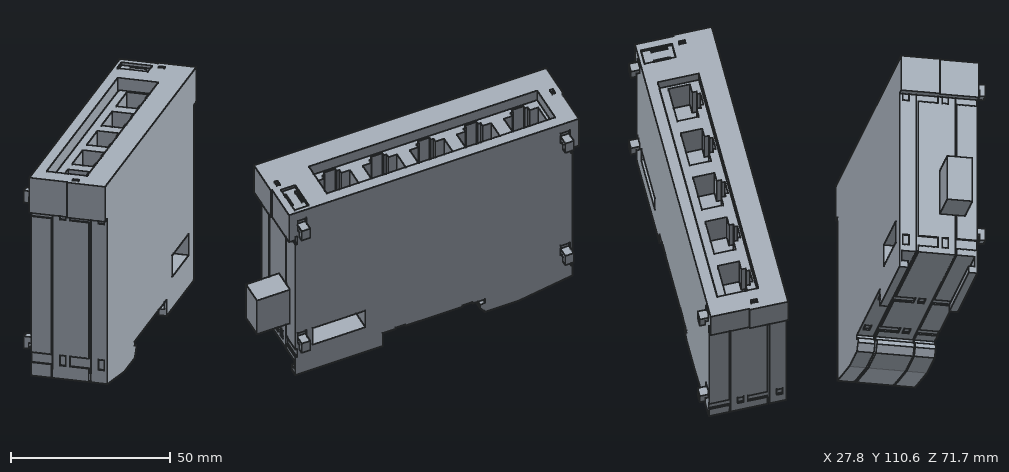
import cadquery as cq


width = 25.0
height = 71.7
total_depth = 110.6
cap_lip = 2.7
plug_length = 11.5
body_depth = total_depth - cap_lip - plug_length

cap_height = 12.0
cap_bottom = height - cap_height
cap_front = -cap_lip
cap_back = body_depth + cap_lip
cap_step = 0.4
cap_step_width = width / 2

rail_top = 5.6
back_foot_length = 30.4
front_foot_start = 66.1
hook_overhang = 1.8
hook_ledge_height = 4.2
hook_tip_height = 3.9
hook_flank_height = 2.3
underside_slope_start = 77.6
underside_slope_rise = 3.3

channel_wall = 0.8
channel_lip_width = 2.8
channel_lip_height = 2.2

groove_depth = 0.5
grooves = [(6.6, 7.0), (18.9, 19.6)]
clip_recesses_x = [(0, 7.0), (9.3, 11.3), (12.6, 19.6), (21.9, 23.9)]
clip_length = 3.4
clip_bottoms = [7.9, 57.6]
rail_clip_distances = [34.9, 58.2]

window_from_back = 6.0
window_length = 18.4
window_bottom = 11.0
window_height = 7.3

plug_x = 4.0
plug_width = 8.1
plug_bottom = 19.4
plug_height = 14.9

hook_reach = 2.8
hook_tip_thickness = 1.8
hook_height = 4.1
hook_stem_height = 2.1
hook_width = 3.0
hook_edge_distance = 0.9
hook_tops = [16.0, 65.7]
hook_pocket_depth = 0.9
hook_pocket_clearance = 0.3

recess_x = 3.8
recess_width = 13.3
recess_depth = 4.2
recess_front_margin = 7.0
recess_length = 79.5
recess_gap_width = 0.3
recess_gap_depth = 1.1
jack_count = 5
jack_pitch = 16.4
jack_front_margin = 8.1
jack_depth = 13.3
jack_x = 7.0
jack_length = 12.0
jack_steps = [(7.0, jack_length), (8.4, 6.0), (9.4, 4.1)]

pocket_x = 1.3
pocket_width = 10.1
pocket_length = 5.0
pocket_back_margin = 3.0
pocket_depth = 1.0
pry_x = 4.5
pry_width = 5.2
pry_inset = 0.1
pry_length = 0.9
pry_depth = 1.1

cap_slot_x = 13.6
cap_slot_width = 2.0
cap_slot_length = 1.1
cap_slot_depth = 1.1
cap_slot_front_margin = 2.2
cap_slot_back_margin = 2.7


def block(x_range, y_range, z_range):
    """Axis-aligned box spanning the three given ranges."""
    size = [end - start for start, end in (x_range, y_range, z_range)]
    corner = (x_range[0], y_range[0], z_range[0])
    return cq.Workplane("XY").box(*size, centered=False).translate(corner)


def make_body():
    """Side outline with rail opening, extruded over the full width."""
    foot_y = body_depth - front_foot_start
    tip_y = foot_y + hook_overhang
    back_foot_y = body_depth - back_foot_length
    return (
        cq.Workplane("YZ")
        .moveTo(0, height)
        .lineTo(0, underside_slope_rise)
        .lineTo(body_depth - underside_slope_start, 0)
        .lineTo(foot_y, 0)
        .lineTo(tip_y, hook_flank_height)
        .lineTo(tip_y, hook_tip_height)
        .lineTo(foot_y, hook_ledge_height)
        .lineTo(foot_y, rail_top)
        .lineTo(back_foot_y, rail_top)
        .lineTo(back_foot_y, 0)
        .lineTo(body_depth, 0)
        .lineTo(body_depth, height)
        .close()
        .extrude(width)
    )


def make_channel():
    """T-shaped slider channel along the back foot, open downwards."""
    y_range = (body_depth - back_foot_length, body_depth)
    upper = block((channel_wall, width - channel_wall), y_range, (channel_lip_height, rail_top))
    mouth = block((channel_lip_width, width - channel_lip_width), y_range, (0, rail_top))
    return upper.union(mouth)


def make_grooves():
    """Grooves around front, back and underside, leaving a recessed core between the slabs."""
    core = block(
        (0, width),
        (groove_depth, body_depth - groove_depth),
        (rail_top + groove_depth, cap_bottom),
    )
    cutter = cq.Workplane("XY")
    for x_range in grooves:
        cutter = cutter.union(block(x_range, (0, body_depth), (0, cap_bottom)))
    return cutter.cut(core)


def make_clip_recesses():
    """Shallow recesses on the front, back and rail faces of the body."""
    cutter = cq.Workplane("XY")
    for x_range in clip_recesses_x:
        for bottom in clip_bottoms:
            z_range = (bottom, bottom + clip_length)
            cutter = cutter.union(block(x_range, (0, groove_depth), z_range))
            cutter = cutter.union(block(x_range, (body_depth - groove_depth, body_depth), z_range))
        for distance in rail_clip_distances:
            y_end = body_depth - distance
            y_range = (y_end - clip_length, y_end)
            cutter = cutter.union(block(x_range, y_range, (rail_top, rail_top + groove_depth)))
    return cutter


def make_cap():
    """Overhanging cap, slightly shorter on the hooked half."""
    long_half = block((cap_step_width, width), (cap_front, cap_back), (cap_bottom, height))
    short_half = block(
        (0, cap_step_width),
        (cap_front + cap_step, cap_back - cap_step),
        (cap_bottom, height),
    )
    return long_half.union(short_half)


def make_jack_cutter():
    """Recess along the cap top with a row of keyed jacks in its floor."""
    floor = height - recess_depth
    recess_y = cap_front + recess_front_margin
    y_range = (recess_y, recess_y + recess_length)
    cutter = block((recess_x, recess_x + recess_width), y_range, (floor, height))
    gap = block((recess_x, recess_x + recess_gap_width), y_range, (floor - recess_gap_depth, floor))
    cutter = cutter.union(gap)
    for index in range(jack_count):
        center_y = cap_front + jack_front_margin + jack_length / 2 + index * jack_pitch
        for reach, length in jack_steps:
            jack_y = (center_y - length / 2, center_y + length / 2)
            cutter = cutter.union(block((jack_x, jack_x + reach), jack_y, (floor - jack_depth, floor)))
    return cutter


def make_label_pocket():
    """Shallow pocket with a pry slot just inside each long edge of its floor."""
    y_end = cap_back - pocket_back_margin
    y_start = y_end - pocket_length
    floor = height - pocket_depth
    cutter = block((pocket_x, pocket_x + pocket_width), (y_start, y_end), (floor, height))
    for pry_y in (y_start + pry_inset, y_end - pry_inset - pry_length):
        pry_slot = block(
            (pry_x, pry_x + pry_width),
            (pry_y, pry_y + pry_length),
            (floor - pry_depth, floor),
        )
        cutter = cutter.union(pry_slot)
    return cutter


def make_cap_slots():
    """One small slot near each end of the cap top."""
    front_y = cap_front + cap_slot_front_margin
    back_y = cap_back - cap_slot_back_margin - cap_slot_length
    cutter = cq.Workplane("XY")
    for slot_y in (front_y, back_y):
        slot = block(
            (cap_slot_x, cap_slot_x + cap_slot_width),
            (slot_y, slot_y + cap_slot_length),
            (height - cap_slot_depth, height),
        )
        cutter = cutter.union(slot)
    return cutter


def make_hook(y_start, top):
    """Downward hook whose stem is rooted in the floor of its wall pocket."""
    y_range = (y_start, y_start + hook_width)
    stem = block((-hook_reach, hook_pocket_depth), y_range, (top - hook_stem_height, top))
    tip = block((-hook_reach, hook_tip_thickness - hook_reach), y_range, (top - hook_height, top))
    return stem.union(tip)


def make_hook_pocket(y_start, y_end, top):
    """Wall pocket holding the hook stem, with equal room above it."""
    z_range = (top - hook_stem_height, top + hook_stem_height)
    return block((0, hook_pocket_depth), (y_start, y_end), z_range)


front_hook_y = hook_edge_distance
back_hook_y = body_depth - hook_edge_distance - hook_width
hook_places = [(front_hook_y, hook_pocket_clearance), (back_hook_y, 0)]

window = block(
    (0, width),
    (body_depth - window_from_back - window_length, body_depth - window_from_back),
    (window_bottom, window_bottom + window_height),
)
plug = block(
    (plug_x, plug_x + plug_width),
    (body_depth - groove_depth, body_depth + plug_length),
    (plug_bottom, plug_bottom + plug_height),
)

result = make_body().cut(make_grooves()).cut(make_channel()).union(make_cap())
result = result.cut(make_clip_recesses()).cut(window).union(plug)
result = result.cut(make_jack_cutter()).cut(make_label_pocket()).cut(make_cap_slots())
for hook_y, clearance in hook_places:
    for hook_top in hook_tops:
        result = result.cut(make_hook_pocket(hook_y, hook_y + hook_width + clearance, hook_top))
        result = result.union(make_hook(hook_y, hook_top))